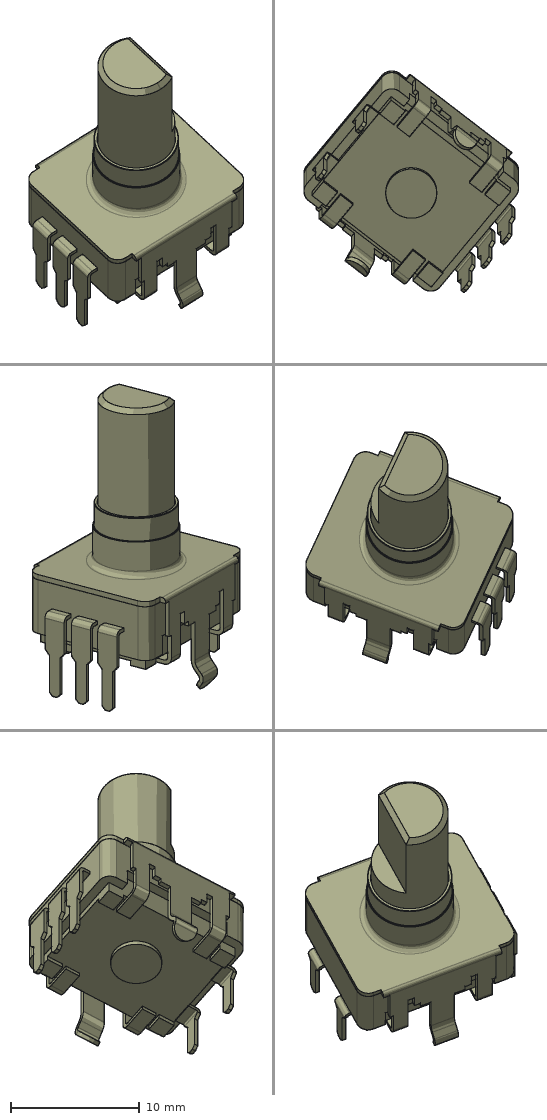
import cadquery as cq
import math


SHAFT_DIAMETER = 6.0
SHAFT_TOP = 13.96
SHAFT_CHAMFER = 0.4
FLAT_Y = 1.5
FLAT_BOTTOM = 7.0

BUSHING_DIAMETER = 6.8
BUSHING_STEP_Z = 3.0
COLLAR_DIAMETER = 6.6
COLLAR_TOP = 4.95
BUSHING_FILLET = 0.5
BORE_DIAMETER = 6.1
RIM_CHAMFER = 0.05

HOUSING_X = 11.35
HOUSING_Y = 13.35
HOUSING_CORNER = 0.96
HOUSING_BOTTOM = -5.0
COVER_X = 11.4
COVER_Y = 13.4
COVER_CORNER = 1.0
COVER_THICKNESS = 0.45

BASE_X = 9.9
BASE_Y = 11.92
BASE_BOTTOM = -5.6
FOOT_BOTTOM = -6.0
FOOT_INNER_X = 3.52
FOOT_INNER_Y = 4.55
BOSS_DIAMETER = 4.0
SIDE_RECESS_Y = 9.39
SIDE_RECESS_TOP = -3.43

SHEET = 0.35
PLATE_OUTER_X = 6.22
PLATE_INNER_X = PLATE_OUTER_X - SHEET
PLATE_BEND_RADIUS = 0.3
FLANGE_Y = 10.15
PLATE_Y = 9.1
PLATE_BOTTOM = SIDE_RECESS_TOP
LEG_INNER_Y = 2.98
LEG_OUTER_Y = 4.25
LEG_END_X = FOOT_INNER_X
SLOT_TOP = -2.02
SLOT_INNER_Y = 2.45
SLOT_STEP_TOP = -3.05
SLOT_STEP_INNER_Y = 1.9
SHEET_BEND_RADIUS = 0.3
TAB_WIDTH = 2.0
TABS_SPAN_X = 14.0
TAB_OUTWARD_BEND_Z = -6.65
TAB_OUTWARD_RADIUS = 0.9
TAB_OUTWARD_ANGLE = math.radians(42)
TAB_INWARD_ANGLE = math.radians(36)

PIN_THICKNESS = 0.3
PIN_PITCH = 2.49
PIN_WIDTH = 1.8
PIN_TIP_WIDTH = 1.0
PIN_TIP_CHAMFER = 0.3
PIN_TAPER_TOP = -5.65
PIN_TAPER_BOTTOM = -6.1
PIN_BOTTOM = -9.5
PIN_BEND_RADIUS = 0.15
PIN_EMBED = 0.47
FRONT_PIN_Y = 7.65
FRONT_PIN_TOP = -2.6
REAR_PIN_Y = 7.15
REAR_PIN_TOP = -5.2


def box(x0, x1, y0, y1, z0, z1):
    """Box between two opposite corners."""
    return cq.Workplane("XY").box(x1 - x0, y1 - y0, z1 - z0, centered=False).translate((x0, y0, z0))


def disc(diameter, z0, z1):
    """Cylinder on the shaft axis."""
    return cq.Workplane("XY").workplane(offset=z0).circle(diameter / 2).extrude(z1 - z0)


def rounded_block(x_size, y_size, corner_radius, bottom):
    """Block with rounded upright corners, from the bottom up to Z = 0."""
    return cq.Workplane("XY").rect(x_size, y_size).extrude(bottom).edges("|Z").fillet(corner_radius)


def both_ends(solid):
    """The solid together with its mirror image across the XZ plane."""
    return solid.union(solid.mirror("XZ"))


def right_of(path, distance):
    """Shift an open path of straight runs to its right-hand side, with mitred corners."""
    headings = [math.atan2(b[1] - a[1], b[0] - a[0]) for a, b in zip(path, path[1:])]
    shifted = []
    for i, (u, w) in enumerate(path):
        before = headings[max(i - 1, 0)]
        after = headings[min(i, len(headings) - 1)]
        normal = (before + after - math.pi) / 2
        reach = distance / math.cos((after - before) / 2)
        shifted.append((u + reach * math.cos(normal), w + reach * math.sin(normal)))
    return shifted


def bent_strip(plane, path, thickness, width, inner_radii):
    """Strip of sheet on the right-hand side of a path, with rounded bends."""
    far_path = right_of(path, thickness)
    workplane = cq.Workplane(plane)
    strip = workplane.polyline(path + far_path[::-1]).close().extrude(width / 2, both=True)
    for i, inner_radius in enumerate(inner_radii, start=1):
        (u0, w0), (u1, w1), (u2, w2) = path[i - 1:i + 2]
        turns_right = (u1 - u0) * (w2 - w1) - (w1 - w0) * (u2 - u1) < 0
        inner, outer = (far_path[i], path[i]) if turns_right else (path[i], far_path[i])
        for corner, radius in ((inner, inner_radius), (outer, inner_radius + thickness)):
            point = workplane.plane.toWorldCoords(corner).toTuple()
            strip = strip.edges(cq.selectors.NearestToPointSelector(point)).fillet(radius)
    return strip


def make_shaft():
    """Round shaft with a flat on its +Y side and a chamfered end."""
    shaft = disc(SHAFT_DIAMETER, -COVER_THICKNESS, SHAFT_TOP)
    radius = SHAFT_DIAMETER / 2
    shaft = shaft.cut(box(-radius, radius, FLAT_Y, radius, FLAT_BOTTOM, SHAFT_TOP))
    return shaft.faces(">Z").chamfer(SHAFT_CHAMFER)


def make_bushing():
    """Ring round the shaft; the bore leaves a thin gap that ends at the cover."""
    bushing_radius = BUSHING_DIAMETER / 2
    collar_radius = COLLAR_DIAMETER / 2
    return (
        cq.Workplane("XZ")
        .moveTo(BORE_DIAMETER / 2, -COVER_THICKNESS)
        .lineTo(bushing_radius + BUSHING_FILLET, -COVER_THICKNESS)
        .lineTo(bushing_radius + BUSHING_FILLET, 0)
        .radiusArc((bushing_radius, BUSHING_FILLET), BUSHING_FILLET)
        .lineTo(bushing_radius, BUSHING_STEP_Z - RIM_CHAMFER)
        .lineTo(bushing_radius - RIM_CHAMFER, BUSHING_STEP_Z)
        .lineTo(collar_radius, BUSHING_STEP_Z)
        .lineTo(collar_radius, COLLAR_TOP - RIM_CHAMFER)
        .lineTo(collar_radius - RIM_CHAMFER, COLLAR_TOP)
        .lineTo(BORE_DIAMETER / 2, COLLAR_TOP)
        .close()
        .revolve(360, (0, 0, 0), (0, 1, 0))
    )


def make_housing():
    """Housing block, recessed low on both X sides, on a footed base."""
    block = rounded_block(HOUSING_X, HOUSING_Y, HOUSING_CORNER, HOUSING_BOTTOM)
    half_x, half_y = BASE_X / 2, BASE_Y / 2
    half_recess = SIDE_RECESS_Y / 2
    recess = box(half_x, HOUSING_X / 2, -half_recess, half_recess, HOUSING_BOTTOM, SIDE_RECESS_TOP)
    block = block.cut(recess).cut(recess.mirror("YZ"))
    base = box(-half_x, half_x, -half_y, half_y, BASE_BOTTOM, HOUSING_BOTTOM)
    foot = both_ends(box(FOOT_INNER_X, half_x, FOOT_INNER_Y, half_y, FOOT_BOTTOM, BASE_BOTTOM))
    boss = disc(BOSS_DIAMETER, FOOT_BOTTOM, BASE_BOTTOM)
    return block.union(base).union(foot).union(foot.mirror("YZ")).union(boss)


def make_snap_tab():
    """Tab that bends outward, then inward, and ends in a half round."""
    outer_radius = SHEET_BEND_RADIUS + SHEET
    end_radius = TAB_WIDTH / 2
    outward_z = TAB_OUTWARD_BEND_Z - TAB_OUTWARD_RADIUS * math.tan(TAB_OUTWARD_ANGLE / 2)
    half_turn = (TAB_OUTWARD_ANGLE + TAB_INWARD_ANGLE) / 2
    skew = (TAB_OUTWARD_ANGLE - TAB_INWARD_ANGLE) / 2
    apex_x = TABS_SPAN_X / 2 + outer_radius * (math.cos(skew) / math.cos(half_turn) - 1)
    apex_z = outward_z - (apex_x - PLATE_OUTER_X) / math.tan(TAB_OUTWARD_ANGLE)
    end_length = outer_radius * math.tan(half_turn) + end_radius
    tip_x = apex_x - end_length * math.sin(TAB_INWARD_ANGLE)
    tip_z = apex_z - end_length * math.cos(TAB_INWARD_ANGLE)
    path = [(PLATE_OUTER_X, PLATE_BOTTOM), (PLATE_OUTER_X, outward_z), (apex_x, apex_z), (tip_x, tip_z)]
    radii = [TAB_OUTWARD_RADIUS, SHEET_BEND_RADIUS]
    tab = bent_strip("XZ", path, SHEET, TAB_WIDTH, radii)
    end_plane = cq.Plane(
        origin=(
            tip_x + end_radius * math.sin(TAB_INWARD_ANGLE),
            0,
            tip_z + end_radius * math.cos(TAB_INWARD_ANGLE),
        ),
        xDir=(0, 1, 0),
        normal=(math.cos(TAB_INWARD_ANGLE), 0, -math.sin(TAB_INWARD_ANGLE)),
    )
    end_face = cq.Workplane(end_plane)
    end_disc = end_face.circle(end_radius).extrude(-SHEET)
    end_square = end_face.center(0, -end_radius / 2).rect(TAB_WIDTH, end_radius).extrude(-SHEET)
    return tab.cut(end_square.cut(end_disc))


def make_side_plate():
    """Cover plate hanging down the +X side, with its clinch legs and snap tab."""
    half_flange = FLANGE_Y / 2
    flange = box(COVER_X / 2, PLATE_OUTER_X, -half_flange, half_flange, -COVER_THICKNESS, 0)
    flange = flange.edges(">X and >Z").fillet(PLATE_BEND_RADIUS)
    half_plate = PLATE_Y / 2
    plate = box(PLATE_INNER_X, PLATE_OUTER_X, -half_plate, half_plate, PLATE_BOTTOM, -COVER_THICKNESS)
    slot = box(PLATE_INNER_X, PLATE_OUTER_X, SLOT_INNER_Y, LEG_INNER_Y, PLATE_BOTTOM, SLOT_TOP)
    slot_step = box(PLATE_INNER_X, PLATE_OUTER_X, SLOT_STEP_INNER_Y, LEG_INNER_Y, PLATE_BOTTOM, SLOT_STEP_TOP)
    plate = plate.cut(both_ends(slot.union(slot_step)))
    leg_path = [(PLATE_OUTER_X, PLATE_BOTTOM), (PLATE_OUTER_X, FOOT_BOTTOM), (LEG_END_X, FOOT_BOTTOM)]
    leg = bent_strip("XZ", leg_path, SHEET, LEG_OUTER_Y - LEG_INNER_Y, [SHEET_BEND_RADIUS])
    leg = leg.translate((0, (LEG_INNER_Y + LEG_OUTER_Y) / 2, 0))
    return flange.union(plate).union(both_ends(leg)).union(make_snap_tab())


def make_pin(face_y, top, root_y):
    """Right-angle pin on the +Y side, from its root out to face_y and then down."""
    path = [(root_y, top), (face_y, top), (face_y, PIN_BOTTOM)]
    strip = bent_strip("YZ", path, PIN_THICKNESS, PIN_WIDTH, [PIN_BEND_RADIUS])
    half_width, half_tip = PIN_WIDTH / 2, PIN_TIP_WIDTH / 2
    right_edge = [
        (half_width, top),
        (half_width, PIN_TAPER_TOP),
        (half_tip, PIN_TAPER_BOTTOM),
        (half_tip, PIN_BOTTOM + PIN_TIP_CHAMFER),
        (half_tip - PIN_TIP_CHAMFER, PIN_BOTTOM),
    ]
    left_edge = [(-x, z) for x, z in reversed(right_edge)]
    outline = cq.Workplane("XZ").polyline(right_edge + left_edge).close().extrude(-face_y)
    return strip.intersect(outline)


cover = rounded_block(COVER_X, COVER_Y, COVER_CORNER, -COVER_THICKNESS)
result = make_housing().union(cover).union(make_shaft()).union(make_bushing())

side_plate = make_side_plate()
result = result.union(side_plate).union(side_plate.mirror("YZ"))

front_pin = make_pin(FRONT_PIN_Y, FRONT_PIN_TOP, HOUSING_Y / 2 - PIN_EMBED).mirror("XZ")
for x in (-PIN_PITCH, 0, PIN_PITCH):
    result = result.union(front_pin.translate((x, 0, 0)))

rear_pin = make_pin(REAR_PIN_Y, REAR_PIN_TOP, BASE_Y / 2 - PIN_EMBED)
for x in (-PIN_PITCH, PIN_PITCH):
    result = result.union(rear_pin.translate((x, 0, 0)))